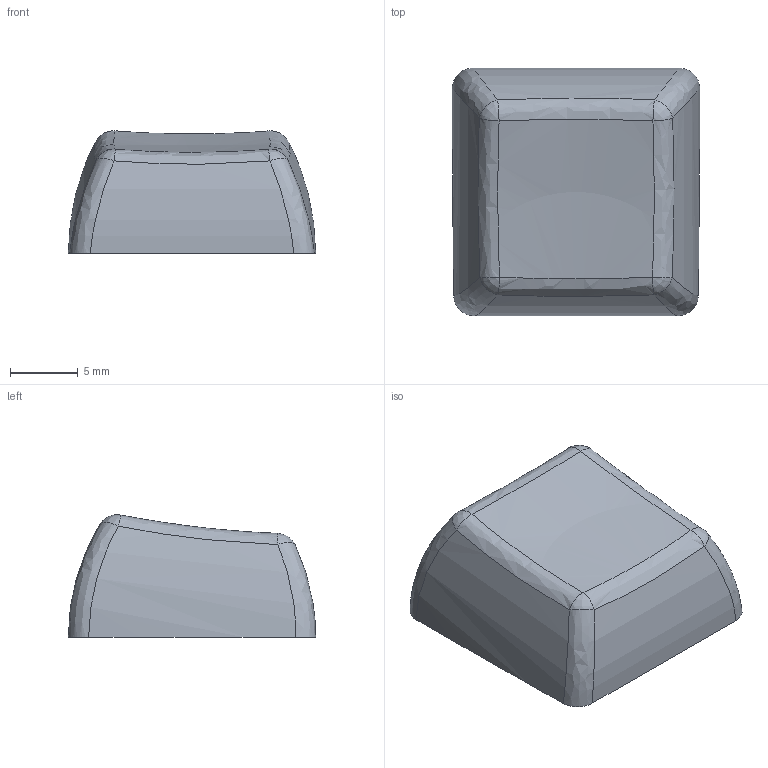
import cadquery as cq
import math

base_size = 18.29
half_base = base_size / 2

side_wall_radius = 19.5
end_wall_radius = 16.0

tilt_angle = 7.0
dish_radius = 75.0
dish_center_height = 7.97

edge_radius = 1.5

wall_length = 4 * base_size


def wall_cylinder(radius, axis_point, axis_direction):
    """Long solid cylinder centred lengthwise on axis_point."""
    start = cq.Vector(*axis_point) - axis_direction * (wall_length / 2)
    return cq.Workplane(cq.Solid.makeCylinder(radius, wall_length, start, axis_direction))


def front_and_back_walls():
    """Block with a curved front and a curved back, level along X."""
    along_x = cq.Vector(1, 0, 0)
    front = wall_cylinder(end_wall_radius, (0, end_wall_radius - half_base, 0), along_x)
    back = wall_cylinder(end_wall_radius, (0, half_base - end_wall_radius, 0), along_x)
    return front.intersect(back)


def side_walls():
    """Block with curved sides that sink towards the front, so the cap narrows there."""
    tilt = math.radians(tilt_angle)
    along_tilt = cq.Vector(0, math.cos(tilt), math.sin(tilt))
    axis_offset = side_wall_radius - half_base
    left = wall_cylinder(side_wall_radius, (axis_offset, half_base, 0), along_tilt)
    right = wall_cylinder(side_wall_radius, (-axis_offset, half_base, 0), along_tilt)
    return left.intersect(right)


def dish():
    """Sphere that hollows the top, square to the tilted top plane at the part's centre."""
    tilt = math.radians(tilt_angle)
    center_y = -dish_radius * math.sin(tilt)
    center_z = dish_center_height + dish_radius * math.cos(tilt)
    return cq.Workplane("XY").sphere(dish_radius).translate((0, center_y, center_z))


def above_base():
    """Block that keeps only what lies above the flat base."""
    size = 2 * base_size
    return cq.Workplane("XY").box(size, size, size, centered=(True, True, False))


body = front_and_back_walls().intersect(side_walls()).intersect(above_base()).cut(dish())
edges_above_base = body.edges().filter(lambda edge: edge.Center().z > edge_radius / 2)
result = edges_above_base.fillet(edge_radius)